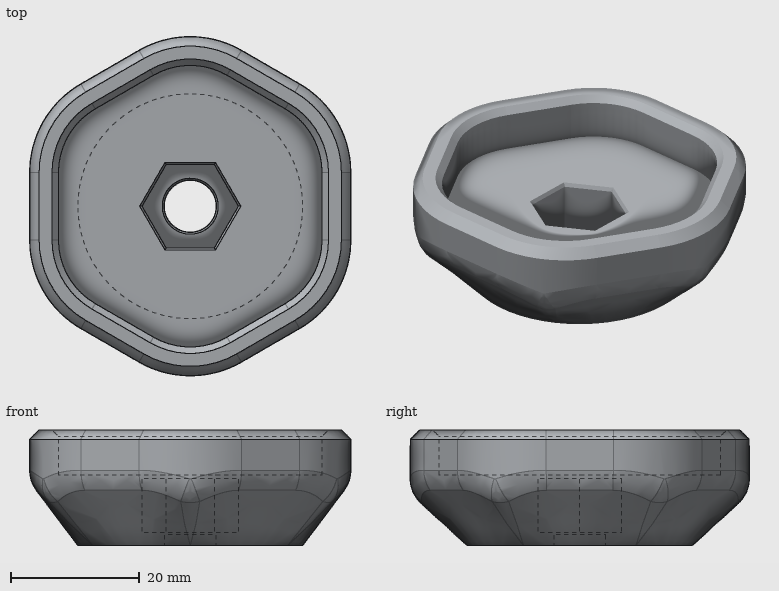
import cadquery as cq
import math

height = 18.0
body_flats = 50.0
corner_radius = 15.95
base_diameter = 35.0
flare_height = 10.0
flare_fillet = 5.0
rim_chamfer = 1.5

rim_inset = 3.5
tray_depth = 7.0
tray_chamfer = 1.0

nut_flats = 13.0
nut_depth = 8.95
nut_chamfer_width = 0.3
nut_chamfer_depth = 0.6
bore_diameter = 8.1
bore_chamfer = 0.3

tolerance = 0.05

tray_floor = height - tray_depth
nut_floor = tray_floor - nut_depth


def polar(radius, degrees, z):
    """Point at height z, given by its distance and direction from the Z axis."""
    angle = math.radians(degrees)
    return cq.Vector(radius * math.cos(angle), radius * math.sin(angle), z)


def corner_distance(flats):
    """Distance from centre to corner of a hexagon with the given size across flats."""
    return flats / math.sqrt(3)


def hexagon_prism(flats, bottom, depth):
    """Upright hexagonal prism with corners on the Y axis."""
    return (
        cq.Workplane("XY", origin=(0, 0, bottom))
        .polygon(6, 2 * corner_distance(flats))
        .extrude(depth)
        .rotate((0, 0, 0), (0, 0, 1), 30)
    )


def rounded_hexagon_prism(inset, bottom, depth):
    """Upright prism whose outline is the side walls moved inward by the inset."""
    prism = hexagon_prism(body_flats - 2 * inset, bottom, depth)
    return prism.edges("|Z").fillet(corner_radius - inset)


def flared_base():
    """Ruled transition from the round foot to a sharp hexagon."""
    foot_radius = base_diameter / 2
    hexagon_radius = corner_distance(body_flats)
    arcs = []
    sides = []
    for side in range(6):
        start = 30 + 60 * side
        arcs.append(cq.Edge.makeThreePointArc(
            polar(foot_radius, start, 0),
            polar(foot_radius, start + 30, 0),
            polar(foot_radius, start + 60, 0),
        ))
        sides.append(cq.Edge.makeLine(
            polar(hexagon_radius, start, flare_height),
            polar(hexagon_radius, start + 60, flare_height),
        ))
    foot = cq.Wire.assembleEdges(arcs)
    hexagon = cq.Wire.assembleEdges(sides)
    return cq.Workplane(cq.Solid.makeLoft([foot, hexagon], True))


def body():
    """Flared base and side walls, blended where they meet and chamfered at the rim."""
    upper = hexagon_prism(body_flats, flare_height, height - flare_height)
    envelope = rounded_hexagon_prism(0, 0, height)
    blank = flared_base().union(upper).intersect(envelope)
    lower_edges = cq.selectors.BoxSelector(
        (-body_flats, -body_flats, tolerance),
        (body_flats, body_flats, flare_height + tolerance),
    )
    return blank.edges(lower_edges).fillet(flare_fillet).faces(">Z").chamfer(rim_chamfer)


def tray():
    """Recess that follows the outline of the side walls, with a chamfered mouth."""
    recess = rounded_hexagon_prism(rim_inset + tray_chamfer, tray_floor, tray_depth)
    mouth = rounded_hexagon_prism(rim_inset, height - tray_chamfer, 2 * tray_chamfer)
    return recess.union(mouth.faces("<Z").chamfer(tray_chamfer))


def hexagonal_frustum(lower_flats, upper_flats, bottom, depth):
    """Straight or tapered hexagon with corners on the X axis."""
    return (
        cq.Workplane("XY", origin=(0, 0, bottom))
        .polygon(6, 2 * corner_distance(lower_flats))
        .workplane(offset=depth)
        .polygon(6, 2 * corner_distance(upper_flats))
        .loft(ruled=True)
    )


def nut_pocket():
    """Hexagonal pocket with a chamfered mouth."""
    straight = hexagonal_frustum(nut_flats, nut_flats, nut_floor, nut_depth)
    mouth_flats = nut_flats + 2 * nut_chamfer_width
    mouth = hexagonal_frustum(nut_flats, mouth_flats, tray_floor - nut_chamfer_depth, nut_chamfer_depth)
    return straight.union(mouth)


def bore():
    """Round hole below the nut pocket, with a chamfer at the nut pocket floor."""
    hole = cq.Workplane("XY").circle(bore_diameter / 2).extrude(nut_floor)
    mouth = cq.Workplane(cq.Solid.makeCone(
        bore_diameter / 2, bore_diameter / 2 + bore_chamfer, bore_chamfer,
        cq.Vector(0, 0, nut_floor - bore_chamfer),
    ))
    return hole.union(mouth)


result = body().cut(tray()).cut(nut_pocket()).cut(bore())